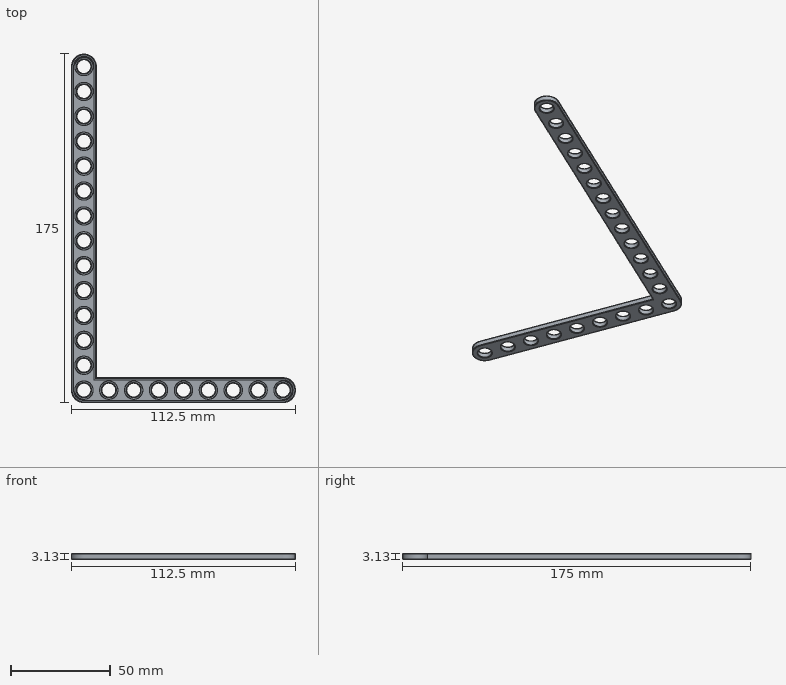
import cadquery as cq

PITCH = 12.5
HOLES_X = 9
HOLES_Y = 14
THICKNESS = PITCH / 4
HOLE_DIAMETER = 7.0
RING_DIAMETER = 9.2
RIM_WIDTH = (RING_DIAMETER - HOLE_DIAMETER) / 2
RECESS_DEPTH = 0.2
CHAMFER = 0.3

LENGTH_X = (HOLES_X - 1) * PITCH
LENGTH_Y = (HOLES_Y - 1) * PITCH
CENTRES_X = [(i * PITCH, 0) for i in range(HOLES_X)]
CENTRES_Y = [(0, j * PITCH) for j in range(1, HOLES_Y)]
HOLE_CENTRES = CENTRES_X + CENTRES_Y


def angle_plate(width, bottom, height):
    """L-shaped plate of two round-ended legs that share the corner hole."""
    plane = cq.Workplane("XY").workplane(offset=bottom)
    leg_x = plane.center(LENGTH_X / 2, 0).slot2D(LENGTH_X + width, width).extrude(height)
    leg_y = plane.center(0, LENGTH_Y / 2).slot2D(LENGTH_Y + width, width, 90).extrude(height)
    return leg_x.union(leg_y).clean()


def discs(diameter, bottom, height):
    """One cylinder on every hole centre."""
    plane = cq.Workplane("XY").workplane(offset=bottom)
    return plane.pushPoints(HOLE_CENTRES).circle(diameter / 2).extrude(height)


def chamfered_blank():
    """Drilled plate with the outline and every hole chamfered on both faces."""
    plate = angle_plate(PITCH, 0, THICKNESS)
    plate = plate.cut(discs(HOLE_DIAMETER, 0, THICKNESS))
    return plate.faces("|Z").edges().chamfer(CHAMFER)


def recess():
    """Shallow panel in the top face that leaves a rim and a ring around each hole."""
    floor = THICKNESS - RECESS_DEPTH
    panel = angle_plate(PITCH - 2 * RIM_WIDTH, floor, RECESS_DEPTH)
    return panel.cut(discs(RING_DIAMETER, floor, RECESS_DEPTH))


result = chamfered_blank().cut(recess())